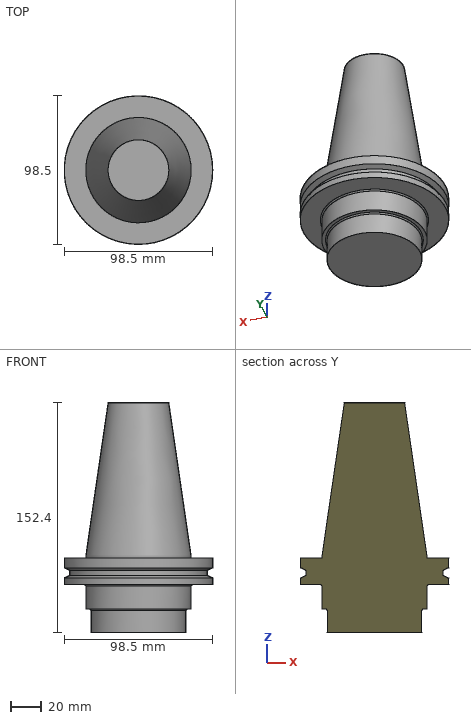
import cadquery as cq

total_height = 152.4
nose_top = 15.7
flange_bottom = 31.9
flange_top = 49.5
gauge_plane = 50.9

nose_diameter = 63.0
gauge_diameter = 69.8
flange_diameter = 98.5
groove_diameter = 91.3

groove_floor_bottom = 38.0
groove_floor_height = 3.4
groove_wall_height = 1.7

taper_ratio = 7 / 24
root_chamfer = 0.9

nose_radius = nose_diameter / 2
gauge_radius = gauge_diameter / 2
flange_radius = flange_diameter / 2
groove_radius = groove_diameter / 2
tip_radius = gauge_radius - taper_ratio * (total_height - gauge_plane) / 2
groove_floor_top = groove_floor_bottom + groove_floor_height

half_section = [
    (0, 0),
    (nose_radius, 0),
    (nose_radius, nose_top - root_chamfer),
    (nose_radius + root_chamfer, nose_top),
    (gauge_radius, nose_top),
    (gauge_radius, flange_bottom - root_chamfer),
    (gauge_radius + root_chamfer, flange_bottom),
    (flange_radius, flange_bottom),
    (flange_radius, groove_floor_bottom - groove_wall_height),
    (groove_radius, groove_floor_bottom),
    (groove_radius, groove_floor_top),
    (flange_radius, groove_floor_top + groove_wall_height),
    (flange_radius, flange_top),
    (gauge_radius, flange_top),
    (gauge_radius, gauge_plane),
    (tip_radius, total_height),
    (0, total_height),
]

result = cq.Workplane("XZ").polyline(half_section).close().revolve(360, (0, 0, 0), (0, 1, 0))